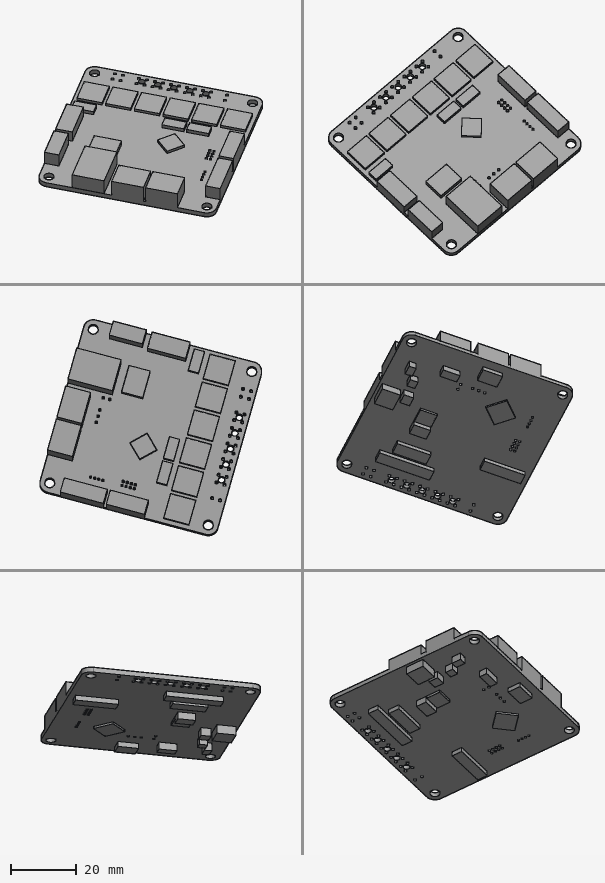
import cadquery as cq

BOARD_SIDE = 56.0
BOARD_THICKNESS = 1.6
CORNER_RADIUS = 3.0
EMBED = 0.05

MOUNT_DIAMETER = 3.0
MOUNT_INSET = 3.0

HEADER_DIAMETER = 0.9
HEADER_SPAN = 35.5
HEADER_STEPS = 14
HEADER_PITCH = HEADER_SPAN / HEADER_STEPS
HEADER_X = 9.0
HEADER_Y = 51.85
SINGLE_COLUMNS = (0, 1, 14)
CLUSTER_COLUMNS = (3, 5, 7, 9, 11)
CLUSTER_CENTER_DIAMETER = 2.0

FINE_DIAMETER = 0.7
FINE_PITCH = 1.3
FINE_COUNT = 4
FINE_X = 47.95
FINE_UPPER_Y = 24.4
FINE_LOWER_Y = 14.5
INNER_FINE_DIAMETER = 0.8
JUMPER_DIAMETER = 0.8
JUMPER_PITCH = 2.0
JUMPER_Y = 11.65
JUMPER_PAIR_X = 22.9
JUMPER_PAIR_COUNT = 2
JUMPER_ROW_X = 26.9
JUMPER_ROW_COUNT = 3

DRIVER_SIDE = 7.95
DRIVER_HEIGHT = 0.9
DRIVER_COUNT = 6
DRIVER_PITCH = 9.1
DRIVER_X = 1.35
DRIVER_Y = 39.35

PACKAGE_LENGTH = 6.95
PACKAGE_WIDTH = 3.25
PACKAGE_HEIGHT = 1.2
PACKAGE_Y = 34.3
PACKAGE_X = (1.1, 29.7, 37.5)


MEMORY_FOOTPRINT = (11.5, 16.6, 8.6, 6.7)
MEMORY_HEIGHT = 1.55

SIDE_DEPTH = 4.6
SIDE_HEIGHT = 4.4
LEFT_BACK_FOOTPRINT = (0, 20.7, 5.3, 12.05)
LEFT_BACK_HEIGHT = 3.7
LEFT_FRONT_FOOTPRINT = (0, 8.5, SIDE_DEPTH, 10.4)
RIGHT_X = BOARD_SIDE - SIDE_DEPTH
RIGHT_BACK_FOOTPRINT = (RIGHT_X, 21.7, SIDE_DEPTH, 12.0)
RIGHT_FRONT_FOOTPRINT = (RIGHT_X, 7.15, SIDE_DEPTH, 13.55)

FRONT_LENGTH = 10.1
FRONT_PAIR_DEPTH = 7.85
FRONT_PAIR_HEIGHT = 5.55
FRONT_PAIR_X = (23.75, 34.5)
DEEP_SETBACK = 0.05
DEEP_FOOTPRINT = (11.25, DEEP_SETBACK, FRONT_LENGTH, 14.0)
DEEP_HEIGHT = 5.1

CHIP_TURN = 45
PROCESSOR_CENTER = (34.55, 27.5)
PROCESSOR_SIDE = 6.0
PROCESSOR_HEIGHT = 0.9
LOWER_CHIP_CENTER = (38.1, 16.25)
LOWER_CHIP_SIDE = 6.95
LOWER_CHIP_HEIGHT = 0.7

TALL_HEIGHT = 2.8
TALL_FOOTPRINT = (0.9, 20.65, 6.05, 6.05)

LEFT_GROUP_HEIGHT = 2.6
LEFT_GROUP_FOOTPRINTS = (
    (5.1, 9.7, 2.3, 3.2),
    (7.4, 14.2, 2.6, 2.6),
    (7.95, 20.2, 3.15, 3.2),
)

CENTER_X = 15.25
CENTER_LENGTH = 5.55
CENTER_HEIGHT = 2.3
CENTER_FRONT_FOOTPRINT = (CENTER_X, 7.1, CENTER_LENGTH, 2.6)
CENTER_BACK_FOOTPRINT = (CENTER_X, 29.7, CENTER_LENGTH, 3.5)

SHORT_HEIGHT = 1.6
SHORT_FOOTPRINTS = (
    (26.55, 2.75, 6.45, 4.35),
    (40.55, 34.3, 13.45, 3.5),
    (13.6, 38.65, 11.1, 3.75),
    (10.1, 43.95, 17.9, 3.5),
)

FLAT_HEIGHT = 0.9
FLAT_FOOTPRINT = (CENTER_X, 24.65, CENTER_LENGTH, 4.8)


def block(footprint, z_low, z_high):
    """Box on a footprint between two levels."""
    x, y, length, width = footprint
    box = cq.Workplane("XY").box(length, width, z_high - z_low, centered=False)
    return box.translate((x, y, z_low))


def top_block(footprint, height):
    """Component standing on the top face."""
    return block(footprint, -EMBED, height)


def bottom_block(footprint, height):
    """Component hanging from the bottom face."""
    return block(footprint, -BOARD_THICKNESS - height, EMBED - BOARD_THICKNESS)


def square_footprint(center, side):
    """Footprint of a square about its centre."""
    x, y = center
    return (x - side / 2, y - side / 2, side, side)


def turned(component, center):
    """Component turned about the vertical line through its centre."""
    x, y = center
    return component.rotate((x, y, 0), (x, y, 1), CHIP_TURN)


def row(x, y, count, dx, dy):
    """Points at a constant step from a first point."""
    return [(x + i * dx, y + i * dy) for i in range(count)]


def drill(body, points, diameter):
    """Through holes in the board."""
    cutter = cq.Workplane("XY").workplane(offset=-BOARD_THICKNESS).pushPoints(points)
    return body.cut(cutter.circle(diameter / 2).extrude(BOARD_THICKNESS))


def header_x(column):
    """X position of a header column, counted from the leftmost one."""
    return HEADER_X + column * HEADER_PITCH


def make_board():
    board = block((0, 0, BOARD_SIDE, BOARD_SIDE), -BOARD_THICKNESS, 0)
    board = board.edges("|Z").fillet(CORNER_RADIUS)

    mount_ends = (MOUNT_INSET, BOARD_SIDE - MOUNT_INSET)
    board = drill(board, [(x, y) for x in mount_ends for y in mount_ends], MOUNT_DIAMETER)

    columns = list(SINGLE_COLUMNS)
    for first in CLUSTER_COLUMNS:
        columns += [first, first + 1]
    header_rows = (HEADER_Y, HEADER_Y + HEADER_PITCH)
    board = drill(board, [(header_x(c), y) for c in columns for y in header_rows], HEADER_DIAMETER)
    middle_y = HEADER_Y + HEADER_PITCH / 2
    middles = [(header_x(c + 0.5), middle_y) for c in CLUSTER_COLUMNS]
    board = drill(board, middles, CLUSTER_CENTER_DIAMETER)

    fine = row(FINE_X, FINE_UPPER_Y, FINE_COUNT, 0, FINE_PITCH)
    fine += row(FINE_X, FINE_LOWER_Y, FINE_COUNT, 0, FINE_PITCH)
    board = drill(board, fine, FINE_DIAMETER)
    inner_fine = row(FINE_X - FINE_PITCH, FINE_UPPER_Y, FINE_COUNT, 0, FINE_PITCH)
    board = drill(board, inner_fine, INNER_FINE_DIAMETER)

    jumpers = row(JUMPER_PAIR_X, JUMPER_Y, JUMPER_PAIR_COUNT, 0, JUMPER_PITCH)
    jumpers += row(JUMPER_ROW_X, JUMPER_Y, JUMPER_ROW_COUNT, JUMPER_PITCH, 0)
    return drill(board, jumpers, JUMPER_DIAMETER)


def top_components():
    parts = []
    for x, y in row(DRIVER_X, DRIVER_Y, DRIVER_COUNT, DRIVER_PITCH, 0):
        parts.append(top_block((x, y, DRIVER_SIDE, DRIVER_SIDE), DRIVER_HEIGHT))
    for x in PACKAGE_X:
        parts.append(top_block((x, PACKAGE_Y, PACKAGE_LENGTH, PACKAGE_WIDTH), PACKAGE_HEIGHT))

    parts.append(top_block(MEMORY_FOOTPRINT, MEMORY_HEIGHT))
    processor = top_block(square_footprint(PROCESSOR_CENTER, PROCESSOR_SIDE), PROCESSOR_HEIGHT)
    parts.append(turned(processor, PROCESSOR_CENTER))

    parts.append(top_block(LEFT_BACK_FOOTPRINT, LEFT_BACK_HEIGHT))
    for footprint in (LEFT_FRONT_FOOTPRINT, RIGHT_BACK_FOOTPRINT, RIGHT_FRONT_FOOTPRINT):
        parts.append(top_block(footprint, SIDE_HEIGHT))

    parts.append(top_block(DEEP_FOOTPRINT, DEEP_HEIGHT))
    for x in FRONT_PAIR_X:
        parts.append(top_block((x, 0, FRONT_LENGTH, FRONT_PAIR_DEPTH), FRONT_PAIR_HEIGHT))
    return parts


def bottom_components():
    chip = bottom_block(square_footprint(LOWER_CHIP_CENTER, LOWER_CHIP_SIDE), LOWER_CHIP_HEIGHT)
    parts = [turned(chip, LOWER_CHIP_CENTER)]
    parts.append(bottom_block(TALL_FOOTPRINT, TALL_HEIGHT))
    for footprint in LEFT_GROUP_FOOTPRINTS:
        parts.append(bottom_block(footprint, LEFT_GROUP_HEIGHT))
    for footprint in (CENTER_FRONT_FOOTPRINT, CENTER_BACK_FOOTPRINT):
        parts.append(bottom_block(footprint, CENTER_HEIGHT))
    for footprint in SHORT_FOOTPRINTS:
        parts.append(bottom_block(footprint, SHORT_HEIGHT))
    parts.append(bottom_block(FLAT_FOOTPRINT, FLAT_HEIGHT))
    return parts


result = make_board()
for component in top_components() + bottom_components():
    result = result.union(component)